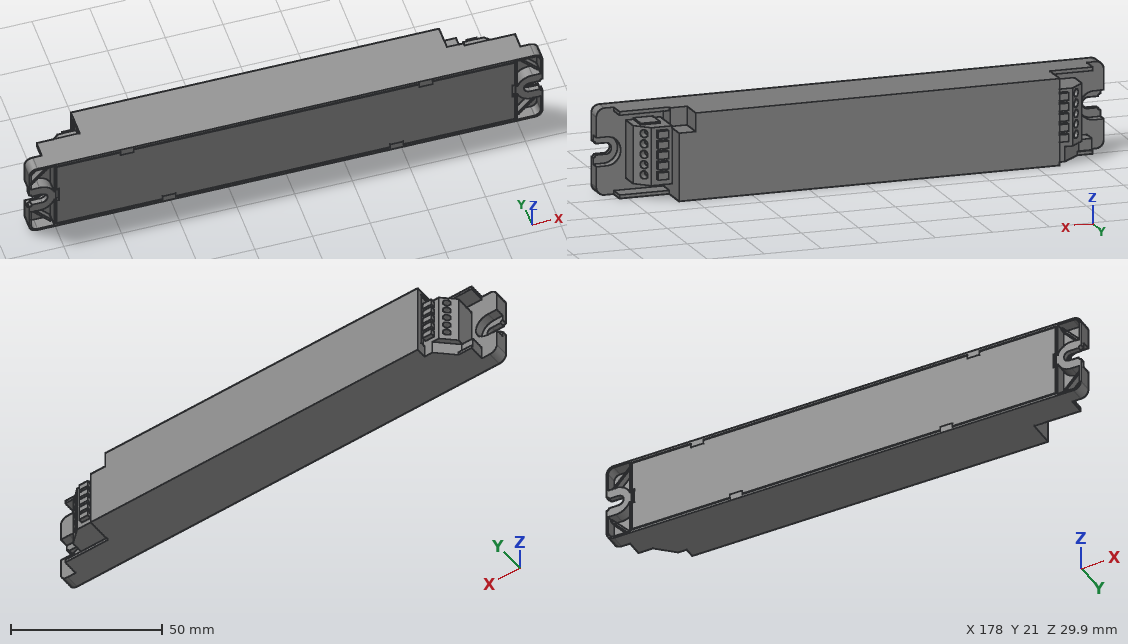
import cadquery as cq
import math


LENGTH = 178.0
WIDTH = 29.9
HEIGHT = 21.0
FOOT_HEIGHT = 5.3
STEP_HEIGHT = 11.2
CORNER_RADIUS = 2.8
STEP_LENGTH = LENGTH - 2 * 6.0
BOX_LEFT = -68.0
BOX_RIGHT = 65.5
SIDE_WALL = 1.2
HALF_LENGTH = LENGTH / 2
HALF_WIDTH = WIDTH / 2

END_RECESS_DEPTH = 0.5
END_RECESS_TOP = 18.9
NOTCH_LEFT = 59.6
NOTCH_BOTTOM = 12.3
NOTCH_DEPTH = 6.4

TERMINAL_OUTER = 78.7
TERMINAL_FACE_TOP = 12.6
TERMINAL_SLOPE_END = 73.9
TERMINAL_HEIGHT = 17.0
TERMINAL_BOTTOM = -9.8
TERMINAL_TOP = 10.1
TERMINAL_BACK_RIGHT = 66.5
POLES = 5
POLE_PITCH = 3.5
POLE_CENTER = 0.7
WIRE_HOLE_DIAMETER = 2.7
WIRE_HOLE_HEIGHT = 15.3
WIRE_HOLE_DEPTH = 3.5
BUTTON_OUTER = 72.0
BUTTON_LENGTH = 3.5
BUTTON_WIDTH = 2.5
BUTTON_TOP = 18.7
LATCH_LEFT = 69.2
LATCH_RIGHT = 76.0
LATCH_TOP = 12.6
LATCH_DEPTH = 0.5

WEDGE_OUTER = -78.3
WEDGE_FACE_TOP = 10.5
WEDGE_SLOPE_END = -71.2

SLOT_WIDTH = 4.0
SLOT_END = 82.6
SLOT_MOUTH_FILLET = 0.9
BOSS_CENTER = 85.5
BOSS_RADIUS = 5.5
SCREW_RECESS_RADIUS = 5.0
SCREW_SEAT = 2.0
POCKET_DEPTH = 4.3
POCKET_WALL = 0.7
POCKET_INNER = 80.3
RIB_WIDTH = 0.7
RIB_SETBACK = 1.8
RIB_OUTER = (88.1, 5.9)
RIB_INNER = (80.8, 13.7)

COVER_LENGTH = 2 * 79.4
COVER_WIDTH = 27.2
COVER_THICKNESS = 1.0
COVER_GAP = 0.4
END_NOTCH_WIDTH = 5.3
END_NOTCH_DEPTH = 0.9
CATCH_LENGTH = 4.6
CATCH_REACH = 1.2
TOP_CATCHES = (-55.0, 48.6)
BOTTOM_CATCHES = (-40.4, 38.5)


def block(x_range, y_range, z_range):
    """Rectangular block between the given limits."""
    x_min, x_max = sorted(x_range)
    y_min, y_max = y_range
    z_min, z_max = z_range
    size = (x_max - x_min, y_max - y_min, z_max - z_min)
    return cq.Workplane("XY").box(*size, centered=False).translate((x_min, y_min, z_min))


def prism(points, z_min, z_max):
    """XY outline extruded across the width."""
    return cq.Workplane("XY").workplane(offset=z_min).polyline(points).close().extrude(z_max - z_min)


def depth_cylinder(x, radius, y_min, y_max):
    """Cylinder along Y on the housing centerline."""
    start = cq.Vector(x, y_min, 0)
    return cq.Workplane(cq.Solid.makeCylinder(radius, y_max - y_min, start, cq.Vector(0, 1, 0)))


def make_shell():
    """Flange, step and box, with a terminal bay open to the top at each end."""
    across = (-HALF_WIDTH, HALF_WIDTH)
    flange = block((-HALF_LENGTH, HALF_LENGTH), (0, FOOT_HEIGHT), across)
    flange = flange.edges("|Y").fillet(CORNER_RADIUS)
    step = block((-STEP_LENGTH / 2, STEP_LENGTH / 2), (FOOT_HEIGHT, STEP_HEIGHT), across)
    box = block((BOX_LEFT, BOX_RIGHT), (FOOT_HEIGHT, HEIGHT), across)
    bay_across = (-HALF_WIDTH + SIDE_WALL, HALF_WIDTH - SIDE_WALL)
    left_bay = block((-HALF_LENGTH, BOX_LEFT), (FOOT_HEIGHT, HEIGHT), bay_across)
    right_bay = block((BOX_RIGHT, HALF_LENGTH), (FOOT_HEIGHT, HEIGHT), bay_across)
    return flange.union(step).union(box).cut(left_bay).cut(right_bay)


def make_box_recesses():
    """Shallow recess in the left end of the box and corner notch at its right end."""
    end_recess = block(
        (BOX_LEFT, BOX_LEFT + END_RECESS_DEPTH),
        (FOOT_HEIGHT, END_RECESS_TOP),
        (TERMINAL_BOTTOM, HALF_WIDTH - SIDE_WALL),
    )
    notch_z = (HALF_WIDTH - NOTCH_DEPTH, HALF_WIDTH)
    notch = block((NOTCH_LEFT, BOX_RIGHT), (NOTCH_BOTTOM, HEIGHT), notch_z)
    return end_recess.union(notch)


def make_terminal(side, back):
    """Terminal block with sloped wire entry; side is -1 at the left end and +1 at the right end."""
    outline = [
        (back, FOOT_HEIGHT),
        (side * TERMINAL_OUTER, FOOT_HEIGHT),
        (side * TERMINAL_OUTER, TERMINAL_FACE_TOP),
        (side * TERMINAL_SLOPE_END, TERMINAL_HEIGHT),
        (back, TERMINAL_HEIGHT),
    ]
    terminal = prism(outline, TERMINAL_BOTTOM, TERMINAL_TOP)
    slope_run = TERMINAL_OUTER - TERMINAL_SLOPE_END
    slope_rise = TERMINAL_HEIGHT - TERMINAL_FACE_TOP
    hole_direction = cq.Vector(-side * slope_rise, -slope_run, 0)
    hole_inset = (WIRE_HOLE_HEIGHT - TERMINAL_FACE_TOP) * slope_run / slope_rise
    hole_x = side * (TERMINAL_OUTER - hole_inset)
    button_x = (side * BUTTON_OUTER, side * (BUTTON_OUTER - BUTTON_LENGTH))
    for pole in range(POLES):
        z = POLE_CENTER + (pole - (POLES - 1) / 2) * POLE_PITCH
        start = cq.Vector(hole_x, WIRE_HOLE_HEIGHT, z)
        hole = cq.Solid.makeCylinder(WIRE_HOLE_DIAMETER / 2, WIRE_HOLE_DEPTH, start, hole_direction)
        button_z = (z - BUTTON_WIDTH / 2, z + BUTTON_WIDTH / 2)
        button = block(button_x, (TERMINAL_HEIGHT, BUTTON_TOP), button_z)
        terminal = terminal.cut(cq.Workplane(hole)).union(button)
    return terminal


def make_latch():
    """Low ledge on the side of the right terminal."""
    return block(
        (LATCH_LEFT, LATCH_RIGHT),
        (FOOT_HEIGHT, LATCH_TOP),
        (TERMINAL_TOP, TERMINAL_TOP + LATCH_DEPTH),
    )


def make_wedge():
    """Sloped block that fills the left bay between the terminal and the -Z side."""
    outline = [
        (BOX_LEFT, FOOT_HEIGHT),
        (-STEP_LENGTH / 2, FOOT_HEIGHT),
        (-STEP_LENGTH / 2, WEDGE_FACE_TOP),
        (WEDGE_OUTER, WEDGE_FACE_TOP),
        (WEDGE_SLOPE_END, TERMINAL_HEIGHT),
        (BOX_LEFT, TERMINAL_HEIGHT),
    ]
    return prism(outline, -HALF_WIDTH, TERMINAL_BOTTOM)


def make_boss(side):
    """U-shaped wall around the mounting slot."""
    outer_end = HALF_LENGTH - POCKET_WALL
    straight = block(
        (side * BOSS_CENTER, side * outer_end), (0, POCKET_DEPTH), (-BOSS_RADIUS, BOSS_RADIUS)
    )
    return depth_cylinder(side * BOSS_CENTER, BOSS_RADIUS, 0, POCKET_DEPTH).union(straight)


def make_rib(side, z_side):
    """Diagonal rib across one corner pocket, standing back from the flange face."""
    run = RIB_INNER[0] - RIB_OUTER[0]
    rise = RIB_INNER[1] - RIB_OUTER[1]
    angle = math.degrees(math.atan2(z_side * rise, side * run))
    length = math.hypot(run, rise)
    middle_x = side * (RIB_INNER[0] + RIB_OUTER[0]) / 2
    middle_z = z_side * (RIB_INNER[1] + RIB_OUTER[1]) / 2
    rib = cq.Workplane("XY").box(length, POCKET_DEPTH - RIB_SETBACK, RIB_WIDTH)
    rib = rib.rotate((0, 0, 0), (0, 1, 0), -angle)
    return rib.translate((middle_x, (POCKET_DEPTH + RIB_SETBACK) / 2, middle_z))


def make_corner_pockets(side):
    """Pockets under the flange, less the slot boss and the diagonal ribs."""
    half = HALF_WIDTH - POCKET_WALL
    outer = side * (HALF_LENGTH - POCKET_WALL)
    pockets = block((side * POCKET_INNER, outer), (0, POCKET_DEPTH), (-half, half))
    outer_edges = "|Y and >X" if side > 0 else "|Y and <X"
    pockets = pockets.edges(outer_edges).fillet(CORNER_RADIUS - POCKET_WALL)
    pockets = pockets.cut(make_boss(side))
    for z_side in (-1, 1):
        pockets = pockets.cut(make_rib(side, z_side))
    return pockets


def make_screw_opening(side):
    """Open-ended mounting slot with a round screw-head recess above it."""
    slot_radius = SLOT_WIDTH / 2
    slot_center = SLOT_END + slot_radius
    mouth = slot_radius + SLOT_MOUTH_FILLET
    mouth_start = HALF_LENGTH - SLOT_MOUTH_FILLET
    slot = (
        cq.Workplane("XZ")
        .moveTo(HALF_LENGTH, mouth)
        .radiusArc((mouth_start, slot_radius), -SLOT_MOUTH_FILLET)
        .lineTo(slot_center, slot_radius)
        .threePointArc((SLOT_END, 0), (slot_center, -slot_radius))
        .lineTo(mouth_start, -slot_radius)
        .radiusArc((HALF_LENGTH, -mouth), -SLOT_MOUTH_FILLET)
        .close()
        .extrude(-FOOT_HEIGHT)
    )
    recess = depth_cylinder(BOSS_CENTER, SCREW_RECESS_RADIUS, SCREW_SEAT, FOOT_HEIGHT)
    recess_mouth = block(
        (BOSS_CENTER, HALF_LENGTH),
        (SCREW_SEAT, FOOT_HEIGHT),
        (-SCREW_RECESS_RADIUS, SCREW_RECESS_RADIUS),
    )
    opening = slot.union(recess).union(recess_mouth)
    return opening if side > 0 else opening.mirror("YZ")


def make_catches():
    """Small ledges on the rim that hold the long edges of the cover."""
    catches = cq.Workplane("XY")
    edge = COVER_WIDTH / 2
    tip = edge - CATCH_REACH
    root = edge + COVER_GAP
    for z_side, centers in ((1, TOP_CATCHES), (-1, BOTTOM_CATCHES)):
        for x in centers:
            catch_z = sorted((z_side * tip, z_side * root))
            catch_x = (x - CATCH_LENGTH / 2, x + CATCH_LENGTH / 2)
            catches = catches.add(block(catch_x, (0, COVER_THICKNESS), catch_z))
    return catches.combine()


def make_plate(margin):
    """Rectangular plate of the cover's size, enlarged all round by the margin."""
    half_length = COVER_LENGTH / 2 + margin
    half_width = COVER_WIDTH / 2 + margin
    return block((-half_length, half_length), (0, COVER_THICKNESS), (-half_width, half_width))


def make_cover():
    """Cover plate notched for the catches and at the middle of each end."""
    cover = make_plate(0).cut(make_catches())
    end = COVER_LENGTH / 2
    notch_z = (-END_NOTCH_WIDTH / 2, END_NOTCH_WIDTH / 2)
    for side in (-1, 1):
        notch_x = (side * (end - END_NOTCH_DEPTH), side * end)
        cover = cover.cut(block(notch_x, (0, COVER_THICKNESS), notch_z))
    return cover


def make_housing():
    """Housing with its terminals, mounting ends, cover seat and catches."""
    housing = make_shell().cut(make_box_recesses())
    housing = housing.union(make_terminal(-1, BOX_LEFT + END_RECESS_DEPTH))
    housing = housing.union(make_terminal(1, TERMINAL_BACK_RIGHT))
    housing = housing.union(make_latch()).union(make_wedge())
    for side in (-1, 1):
        housing = housing.cut(make_corner_pockets(side)).cut(make_screw_opening(side))
    return housing.cut(make_plate(COVER_GAP)).union(make_catches())


housing = make_housing()
cover = make_cover()

result = cq.Compound.makeCompound([housing.solids().val(), cover.solids().val()])